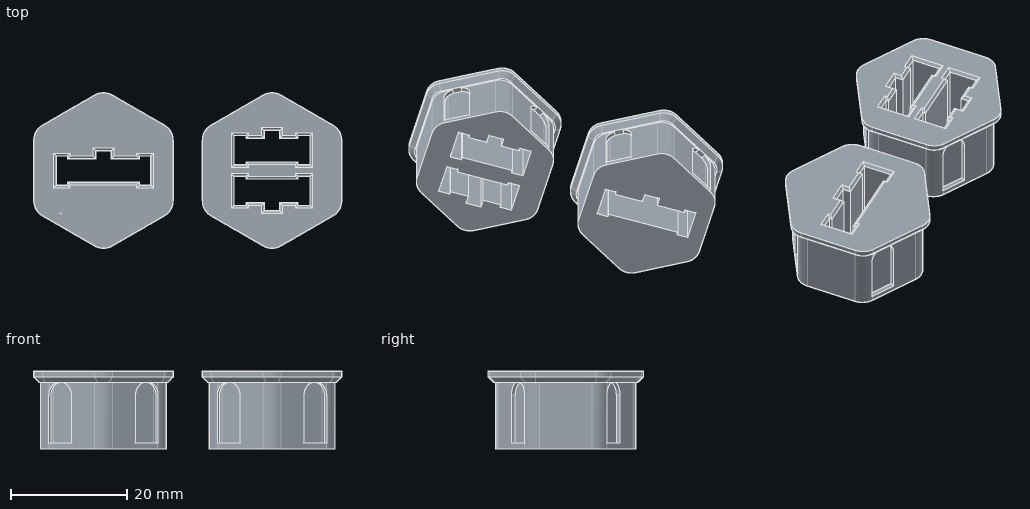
import cadquery as cq
import math

total_height = 13.4
flange_across_flats = 24.0
plug_across_flats = 21.7
corner_radius = 3.0
rim_height = 1.0
flange_chamfer = 1.0
body_pitch = 29.0

recess_depth = 0.75
recess_width = 4.5
recess_start = 0.1
recess_bottom = 1.0
recess_arch_height = 9.3

slot_half_height = 2.5
neck_half_height = 2.0
key_half_width = 1.3
key_reach = 3.4
lead_in = 0.5

single_slot_half_length = 8.1
single_neck_half_length = 6.2
double_slot_half_length = 6.5
double_neck_half_length = 4.5
double_slot_offset = 3.5

flange_height = rim_height + flange_chamfer
plug_height = total_height - flange_height
floor_across_flats = plug_across_flats - 2 * recess_depth


def rounded_hexagon(across_flats, height):
    """Hexagonal prism with two flats facing +X and -X and rounded corners."""
    across_corners = across_flats / math.cos(math.radians(30))
    hexagon = cq.Workplane("XY").polygon(6, across_corners).extrude(height)
    hexagon = hexagon.rotate((0, 0, 0), (0, 0, 1), 30)
    return hexagon.edges("|Z").fillet(corner_radius)


def side_recesses():
    """Arched recesses, on the half of each slanted side nearest an X flat."""
    near_edge = recess_start
    far_edge = recess_start + recess_width
    arch_radius = recess_width / 2
    arch_top = (recess_start + arch_radius, recess_arch_height + arch_radius)
    arched_prism = (
        cq.Workplane("XZ")
        .moveTo(near_edge, recess_bottom)
        .lineTo(far_edge, recess_bottom)
        .lineTo(far_edge, recess_arch_height)
        .threePointArc(arch_top, (near_edge, recess_arch_height))
        .close()
        .extrude(plug_across_flats)
    )
    lower_right = arched_prism.rotate((0, 0, 0), (0, 0, 1), 30)
    lower_pair = lower_right.union(lower_right.mirror("YZ"))
    all_four = lower_pair.union(lower_pair.mirror("XZ"))
    return all_four.cut(rounded_hexagon(floor_across_flats, total_height))


def blank_body():
    """Hexagonal plug with recessed sides under a wider, chamfered flange."""
    plug = rounded_hexagon(plug_across_flats, plug_height).cut(side_recesses())
    flange = (
        rounded_hexagon(flange_across_flats, flange_height)
        .faces("<Z")
        .chamfer(flange_chamfer)
        .translate((0, 0, plug_height))
    )
    return plug.union(flange)


def flared_opening(x_min, x_max, y_min, y_max):
    """Rectangular through opening with a 45 degree lead-in at the top."""
    center = ((x_min + x_max) / 2, (y_min + y_max) / 2)
    length = x_max - x_min
    width = y_max - y_min
    straight = cq.Workplane("XY").center(*center).rect(length, width).extrude(total_height)
    mouth = (
        cq.Workplane("XY", origin=(0, 0, total_height - lead_in))
        .center(*center)
        .rect(length, width)
        .workplane(offset=lead_in)
        .rect(length + 2 * lead_in, width + 2 * lead_in)
        .loft(ruled=True)
    )
    return straight.union(mouth)


def keyed_slot(half_length, neck_half_length):
    """Through slot with wide ends, a narrow neck and a key on its +Y side."""
    neck = flared_opening(-half_length, half_length, -neck_half_height, neck_half_height)
    key = flared_opening(-key_half_width, key_half_width, 0, key_reach)
    wide_end = flared_opening(neck_half_length, half_length, -slot_half_height, slot_half_height)
    return neck.union(key).union(wide_end).union(wide_end.mirror("YZ"))


def single_slot_body():
    slot = keyed_slot(single_slot_half_length, single_neck_half_length)
    return blank_body().cut(slot).translate((-body_pitch / 2, 0, 0))


def double_slot_body():
    """Two slots side by side with their keys pointing away from each other."""
    slot = keyed_slot(double_slot_half_length, double_neck_half_length)
    upper_slot = slot.translate((0, double_slot_offset, 0))
    body = blank_body().cut(upper_slot).cut(upper_slot.mirror("XZ"))
    return body.translate((body_pitch / 2, 0, 0))


single_body = single_slot_body()
double_body = double_slot_body()

result = cq.Compound.makeCompound([single_body.val(), double_body.val()])